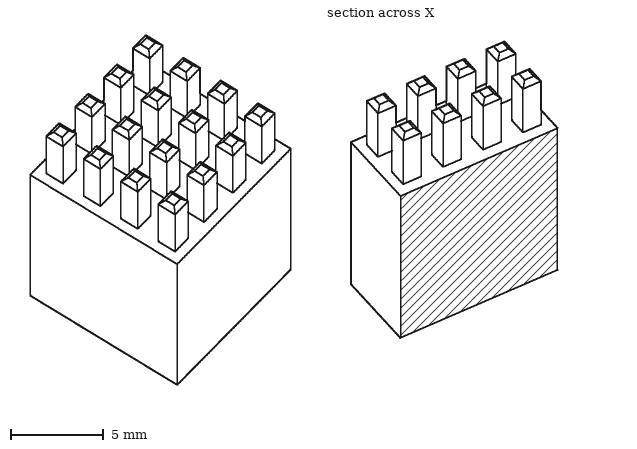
import cadquery as cq

body_side = 10.0
body_height = 10.5

pins_per_side = 4
pin_pitch = 2.54
pin_side = 1.15
pin_height = 3.5
tip_chamfer = pin_side / 4


def make_body():
    """Plain block standing on the XY plane, centred on the Z axis."""
    return cq.Workplane("XY").box(body_side, body_side, body_height, centered=(True, True, False))


def make_pins():
    """Grid of square pins rising from the top of the body, tips chamfered on all four sides."""
    return (
        cq.Workplane("XY", origin=(0, 0, body_height))
        .rarray(pin_pitch, pin_pitch, pins_per_side, pins_per_side)
        .rect(pin_side, pin_side)
        .extrude(pin_height)
        .faces(">Z")
        .edges()
        .chamfer(tip_chamfer)
    )


result = make_body().union(make_pins())